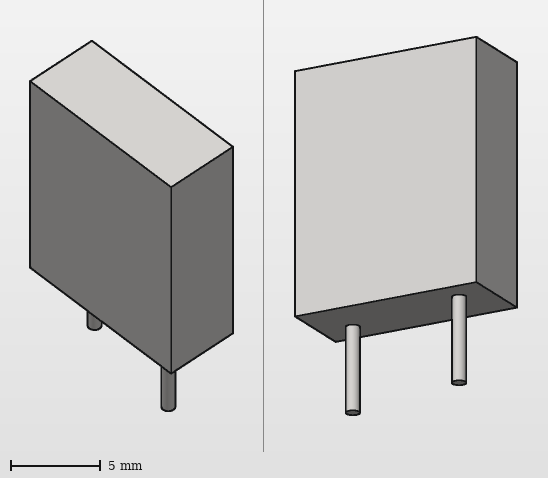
import cadquery as cq

total_height = 19.6
housing_width = 11.5
housing_depth = 4.7
housing_height = 14.52

pin_diameter = 0.8
pin_spacing_x = 7.5
pin_spacing_y = 1.4
pin_length = total_height - housing_height


def make_housing():
    """Plain block standing on the plane Z = 0."""
    return cq.Workplane("XY").box(
        housing_width, housing_depth, housing_height, centered=(True, True, False)
    )


def make_pin(x, y):
    """Round pin hanging from the underside of the housing."""
    return cq.Workplane("XY").center(x, y).circle(pin_diameter / 2).extrude(-pin_length)


housing = make_housing()

pins = []
for side in (-1, 1):
    pins.append(make_pin(side * pin_spacing_x / 2, -side * pin_spacing_y / 2))

result = cq.Compound.makeCompound([housing.val(), *[pin.val() for pin in pins]])